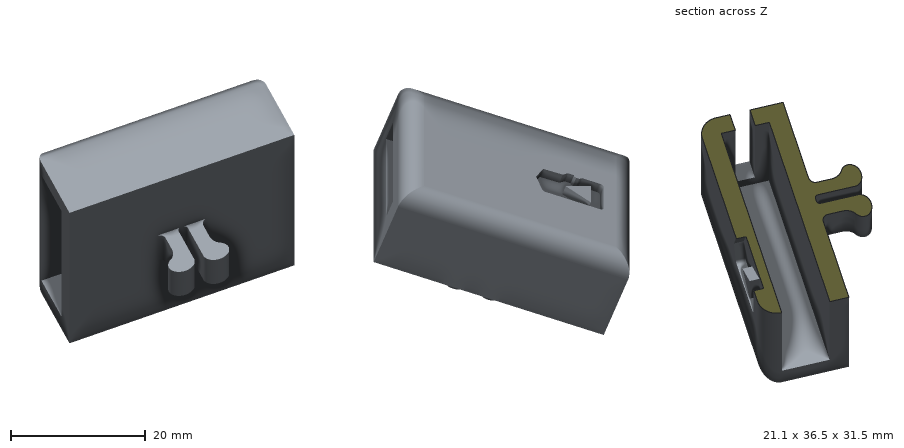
import cadquery as cq
import math

WALL = 3.0
CAVITY_THICKNESS = 7.35
BODY_DEPTH = CAVITY_THICKNESS + 2 * WALL
BODY_WIDTH = 36.5
BODY_HEIGHT = 31.5
EDGE_RADIUS = WALL

SLOT_THICKNESS = 3.0
SLOT_HEIGHT = 22.1

SYMBOL_DEPTH = 1.5
SYMBOL_AXIS_Z = -0.2
CARD_TIP_Y = -2.53
CARD_SHOULDER_Y = -3.65
CARD_END_Y = -13.23
CARD_BOTTOM_Z = -3.6
CARD_TOP_Z = 3.5
CARD_NECK_Z = 2.65
CARD_STEP_Y = -6.77
CARD_STEP_Z = 2.78
CARD_LUG_Z = 3.63
CARD_LUG_START_Y = -7.61
CARD_LUG_END_Y = -8.55
NOTCH_Z = 3.07
NOTCH_START_Y = -8.9
NOTCH_END_Y = -9.4
NOTCH_RAMP = CARD_TOP_Z - NOTCH_Z
CARD_CORNER_RADIUS = 0.6
CARD_NECK_RADIUS = 0.3
ARROW_TIP_Y = -7.24
ARROW_BASE_Y = -11.21
ARROW_HALF_HEIGHT = 2.32

CLIP_HEIGHT = 5.8
CLIP_LENGTH = 7.75
CLIP_GAP = 1.5
PRONG_THICKNESS = 2.3
PRONG_STRAIGHT_LENGTH = 3.26
ROOT_RADIUS_OUTER = 1.0
ROOT_RADIUS_INNER = 0.5
HEAD_RADIUS_X = 1.55
HEAD_RADIUS_Y = 2.05
HEAD_JUNCTION_OFFSET = 1.12


def rounded_profile(plane, size, length):
    """Prism of the body depth by size, with its two X = 0 edges rounded."""
    half = size / 2
    inner = half - EDGE_RADIUS
    return (
        cq.Workplane(plane)
        .moveTo(BODY_DEPTH, -half)
        .lineTo(BODY_DEPTH, half)
        .lineTo(EDGE_RADIUS, half)
        .tangentArcPoint((0, inner), relative=False)
        .lineTo(0, -inner)
        .tangentArcPoint((EDGE_RADIUS, -half), relative=False)
        .close()
        .extrude(length / 2, both=True)
    )


def make_body():
    """Block whose rounded edges meet in mitred corners."""
    side_profile = rounded_profile("XZ", BODY_HEIGHT, BODY_WIDTH)
    plan_profile = rounded_profile("XY", BODY_WIDTH, BODY_HEIGHT)
    return side_profile.intersect(plan_profile)


def make_cavity():
    """Cavity open at -Y, with a thin slot through the +Y end wall."""
    cavity_length = BODY_WIDTH - WALL
    centre_x = BODY_DEPTH / 2
    cavity = cq.Workplane("XY").box(CAVITY_THICKNESS, cavity_length, BODY_HEIGHT - 2 * WALL)
    cavity = cavity.translate((centre_x, -WALL / 2, 0))
    slot = cq.Workplane("XY").box(SLOT_THICKNESS, BODY_WIDTH, SLOT_HEIGHT)
    return cavity.union(slot.translate((centre_x, 0, 0)))


def extrude_symbol(points):
    """Closed YZ outline extruded from the decorated face to the symbol depth."""
    return cq.Workplane("YZ").polyline(points).close().extrude(SYMBOL_DEPTH)


def round_corner(solid, y, z, radius):
    """Round the X-parallel edge of solid nearest to (y, z)."""
    corner = cq.selectors.NearestToPointSelector((SYMBOL_DEPTH / 2, y, z))
    return solid.edges(corner).fillet(radius)


def make_symbol():
    """Card-shaped recess that leaves an arrow standing flush with the face."""
    card = extrude_symbol([
        (CARD_TIP_Y, SYMBOL_AXIS_Z),
        (CARD_SHOULDER_Y, CARD_NECK_Z),
        (CARD_STEP_Y, CARD_STEP_Z),
        (CARD_LUG_START_Y, CARD_LUG_Z),
        (CARD_LUG_END_Y, CARD_LUG_Z),
        (CARD_LUG_END_Y, NOTCH_Z + NOTCH_RAMP / 2),
        (NOTCH_START_Y, NOTCH_Z),
        (NOTCH_END_Y, NOTCH_Z),
        (NOTCH_END_Y - NOTCH_RAMP, CARD_TOP_Z),
        (CARD_END_Y, CARD_TOP_Z),
        (CARD_END_Y, CARD_BOTTOM_Z),
        (CARD_SHOULDER_Y, CARD_BOTTOM_Z),
    ])
    card = round_corner(card, CARD_SHOULDER_Y, CARD_NECK_Z, CARD_NECK_RADIUS)
    card = round_corner(card, CARD_END_Y, CARD_TOP_Z, CARD_CORNER_RADIUS)
    card = round_corner(card, CARD_END_Y, CARD_BOTTOM_Z, CARD_CORNER_RADIUS)
    card = round_corner(card, CARD_SHOULDER_Y, CARD_BOTTOM_Z, CARD_CORNER_RADIUS)
    arrow = extrude_symbol([
        (ARROW_TIP_Y, SYMBOL_AXIS_Z),
        (ARROW_BASE_Y, SYMBOL_AXIS_Z + ARROW_HALF_HEIGHT),
        (ARROW_BASE_Y, SYMBOL_AXIS_Z - ARROW_HALF_HEIGHT),
    ])
    return card.cut(arrow)


def make_prong():
    """Prong on the +Y side: flared root, straight arm and elliptical head."""
    inner_y = CLIP_GAP / 2
    outer_y = inner_y + PRONG_THICKNESS
    back_x = BODY_DEPTH
    neck_x = back_x + PRONG_STRAIGHT_LENGTH
    head_x = back_x + CLIP_LENGTH - HEAD_RADIUS_X
    head_y = inner_y + HEAD_RADIUS_Y
    junction_x = head_x - HEAD_JUNCTION_OFFSET
    junction_y = head_y + HEAD_RADIUS_Y * math.sqrt(1 - (HEAD_JUNCTION_OFFSET / HEAD_RADIUS_X) ** 2)

    arm = (
        cq.Workplane("XY")
        .workplane(offset=-CLIP_HEIGHT / 2)
        .moveTo(head_x, inner_y)
        .lineTo(back_x + ROOT_RADIUS_INNER, inner_y)
        .radiusArc((back_x, inner_y - ROOT_RADIUS_INNER), -ROOT_RADIUS_INNER)
        .lineTo(back_x, outer_y + ROOT_RADIUS_OUTER)
        .radiusArc((back_x + ROOT_RADIUS_OUTER, outer_y), -ROOT_RADIUS_OUTER)
        .lineTo(neck_x, outer_y)
        .tangentArcPoint((junction_x, junction_y), relative=False)
        .lineTo(head_x, head_y)
        .close()
        .extrude(CLIP_HEIGHT)
    )
    head = (
        cq.Workplane("XY")
        .workplane(offset=-CLIP_HEIGHT / 2)
        .center(head_x, head_y)
        .ellipse(HEAD_RADIUS_X, HEAD_RADIUS_Y)
        .extrude(CLIP_HEIGHT)
    )
    return arm.union(head)


prong = make_prong()
body = make_body().cut(make_cavity()).cut(make_symbol())
result = body.union(prong).union(prong.mirror("XZ"))